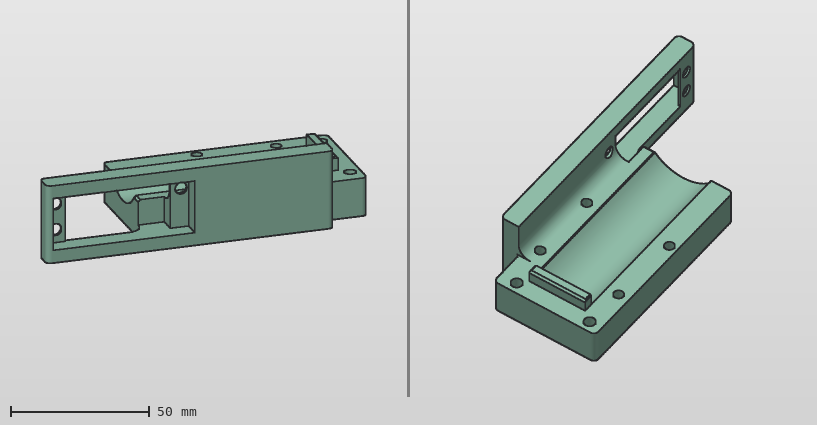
import cadquery as cq

wall_back = 109.5
total_length = 125.0
total_width = 53.0
total_height = 30.0

base_width = 45.0
base_height = 14.8
base_front = 39.5
base_length = total_length - base_front
corner_radius = 2.0

wall_thickness = total_width - base_width
window_front = 9.5
window_length = 40.0
window_bottom = 5.0
window_height = 20.0
window_back = window_front + window_length
notch_left = 39.2

web_thickness = 1.0
recess_margin = 7.0

blend_radius = 5.0
rear_blend_radius = 0.8

trough_center_x = 22.2
trough_width = 24.9
trough_edge_z = 13.9
trough_floor_z = 8.2
trough_back = 113.8
plate_thickness = 3.8
plate_top = 20.0
plate_chamfer = 0.9
plate_corner_chamfer = 0.5
lip_chamfer = 0.9

large_hole = 4.5
small_hole = 4.0
rear_hole_points = [(5.4, 120.9), (37.8, 120.9)]
deck_hole_points = [(4.6, 104.0), (3.5, 74.1), (40.0, 103.1), (39.9, 74.5)]
wall_hole_points = [(5.8, 10.0), (5.8, 20.0), (53.6, 20.0)]


def box(x, y, z, length, width, height):
    """Box grown from its lowest corner."""
    return cq.Workplane("XY").box(length, width, height, centered=False).translate((x, y, z))


def concave_section(plane, corner, u_direction, v_direction, radius):
    """Fillet section filling a square inner corner, tangent to both of its sides."""
    u, v = corner
    u_end = u + u_direction * radius
    v_end = v + v_direction * radius
    inset = radius * (1 - 0.5 ** 0.5)
    middle = (u + u_direction * inset, v + v_direction * inset)
    return (
        cq.Workplane(plane)
        .moveTo(u, v)
        .lineTo(u_end, v)
        .threePointArc(middle, (u, v_end))
        .close()
    )


def base_block():
    block = box(0, base_front, 0, base_width, base_length, base_height)
    return block.edges("|Z and (<X or >Y)").fillet(corner_radius)


def side_wall():
    wall = box(base_width, 0, 0, wall_thickness, wall_back, total_height)
    return wall.edges("|Z and (>X or <Y)").fillet(corner_radius)


def blends():
    """Long blend above the deck, low blend at the base front and small one behind the wall."""
    deck = concave_section("XZ", (base_width, base_height), -1, 1, blend_radius)
    deck = deck.extrude(base_front - wall_back).translate((0, base_front, 0))
    front = concave_section("XY", (base_width, base_front), -1, -1, blend_radius)
    rear = concave_section("XY", (base_width, wall_back), 1, 1, rear_blend_radius)
    return deck.union(front.extrude(window_bottom)).union(rear.extrude(base_height))


def cradle_prism(front, back, top):
    """Prism along Y with straight sides and a round underside."""
    left = trough_center_x - trough_width / 2
    right = left + trough_width
    section = (
        cq.Workplane("XZ", origin=(0, front, 0))
        .moveTo(left, top)
        .lineTo(left, trough_edge_z)
        .threePointArc((trough_center_x, trough_floor_z), (right, trough_edge_z))
        .lineTo(right, top)
        .close()
    )
    return section.extrude(front - back)


def end_plate():
    plate = cradle_prism(trough_back, trough_back + plate_thickness, plate_top)
    plate = plate.edges("|Y and >Z").chamfer(plate_corner_chamfer)
    return plate.faces(">Z").edges(">Y").chamfer(plate_chamfer)


def lip_cut():
    """Bevel along the front top edge, between the trough and the window notch."""
    section = (
        cq.Workplane("YZ", origin=(trough_center_x, 0, 0))
        .moveTo(base_front, base_height)
        .lineTo(base_front + lip_chamfer, base_height)
        .lineTo(base_front, base_height - lip_chamfer)
        .close()
    )
    return section.extrude(base_width - trough_center_x)


def window_cut():
    window = box(base_width, window_front, window_bottom, wall_thickness, window_length, window_height)
    notch = box(
        notch_left, base_front, window_bottom,
        base_width - notch_left, window_back - base_front, window_height,
    )
    return window.union(notch)


def recess_cut():
    """Outer-face recess, as tall as the window and longer at both ends."""
    return box(
        base_width + web_thickness, window_front - recess_margin, window_bottom,
        wall_thickness - web_thickness, window_length + 2 * recess_margin, window_height,
    )


def hole_cuts():
    rear = cq.Workplane("XY").pushPoints(rear_hole_points).circle(large_hole / 2).extrude(total_height)
    deck = cq.Workplane("XY").pushPoints(deck_hole_points).circle(small_hole / 2).extrude(total_height)
    wall = (
        cq.Workplane("YZ", origin=(base_width - blend_radius, 0, 0))
        .pushPoints(wall_hole_points)
        .circle(large_hole / 2)
        .extrude(blend_radius + wall_thickness)
    )
    return rear.union(deck).union(wall)


result = base_block()
result = result.union(side_wall()).union(blends())
result = result.cut(cradle_prism(base_front, trough_back, base_height))
result = result.union(end_plate())
result = result.cut(lip_cut()).cut(window_cut()).cut(recess_cut()).cut(hole_cuts())